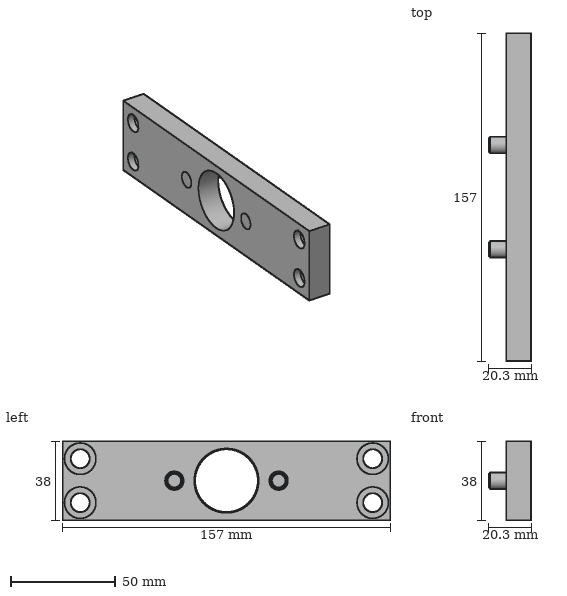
import cadquery as cq

plate_length = 157.0
plate_height = 38.0
plate_thickness = 12.0
front_face = -plate_thickness / 2

bore_diameter = 30.0
bore_chamfer = 0.5

screw_diameter = 9.0
counterbore_diameter = 15.0
counterbore_depth = 8.2
screw_spacing_y = 140.0
screw_spacing_z = 21.0

pin_diameter = 8.0
pin_protrusion = 8.3
pin_tip_chamfer = 0.8
pin_spacing = 50.0
pin_hole_mouth_diameter = 9.0
pin_hole_chamfer = (pin_hole_mouth_diameter - pin_diameter) / 2
pin_positions = [-pin_spacing / 2, pin_spacing / 2]


def x_cylinder(diameter, length, x, y=0.0, z=0.0):
    """Cylinder that starts at (x, y, z) and runs along +X."""
    return cq.Workplane("YZ", origin=(x, y, z)).circle(diameter / 2).extrude(length)


def chamfered_hole(diameter, chamfer, y=0.0):
    """Cutter for a through hole with a 45 degree chamfer at the -X face."""
    hole = x_cylinder(diameter, plate_thickness, front_face, y)
    mouth = cq.Workplane(
        cq.Solid.makeCone(
            diameter / 2 + chamfer,
            diameter / 2,
            chamfer,
            cq.Vector(front_face, y, 0),
            cq.Vector(1, 0, 0),
        )
    )
    return hole.union(mouth)


def screw_hole(y, z):
    """Cutter for a through hole counterbored from the -X face."""
    hole = x_cylinder(screw_diameter, plate_thickness, front_face, y, z)
    counterbore = x_cylinder(counterbore_diameter, counterbore_depth, front_face, y, z)
    return hole.union(counterbore)


def make_plate():
    """Plate with its bore, four screw holes and two pin holes."""
    plate = cq.Workplane("XY").box(plate_thickness, plate_length, plate_height)
    plate = plate.cut(chamfered_hole(bore_diameter, bore_chamfer))
    for y in (-screw_spacing_y / 2, screw_spacing_y / 2):
        for z in (-screw_spacing_z / 2, screw_spacing_z / 2):
            plate = plate.cut(screw_hole(y, z))
    for y in pin_positions:
        plate = plate.cut(chamfered_hole(pin_diameter, pin_hole_chamfer, y))
    return plate


def make_pin(y):
    """Pin flush with the +X face of the plate, chamfered at its free tip."""
    pin = x_cylinder(pin_diameter, plate_thickness + pin_protrusion, front_face - pin_protrusion, y)
    return pin.faces("<X").chamfer(pin_tip_chamfer)


plate = make_plate()
pins = [make_pin(y) for y in pin_positions]

result = cq.Compound.makeCompound([plate.val(), *[pin.val() for pin in pins]])